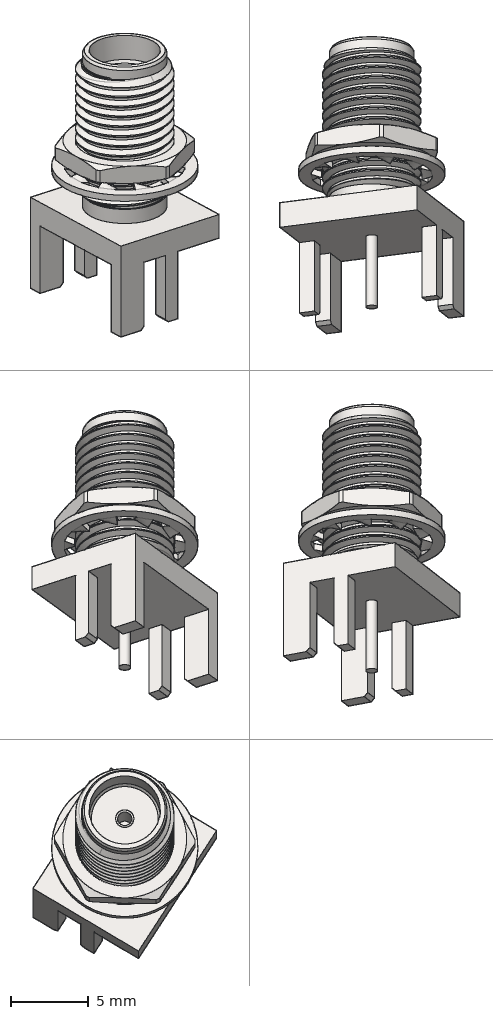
import cadquery as cq
import math

BASE_LENGTH = 9.53
BASE_WIDTH = 8.0
LEG_HEIGHT = 4.76
BASE_TOP = 6.44
LEG_THICKNESS = 1.03
FRONT_LEG_DEPTH = 1.88
MIDDLE_LEG_DEPTH = 1.01
MIDDLE_LEG_FRONT = -0.38
LEG_CHAMFER = 0.25
PIN_DIAMETER = 0.77

TOTAL_HEIGHT = 17.45
COLLAR_DIAMETER = 5.45
RIM_CHAMFER_WIDTH = 0.12
RIM_CHAMFER_HEIGHT = 0.2
BORE_DIAMETER = 4.57
BORE_DEPTH = 1.71
FLOOR_DIAMETER = 4.3
FLOOR_CONE_HEIGHT = 0.2
CONTACT_SEAT_DIAMETER = 1.17
CONTACT_SEAT_DEPTH = 0.05
CONTACT_HOLE_DIAMETER = 0.9
CONTACT_HOLE_DEPTH = 2.1

THREAD_DIAMETER = 6.35
THREAD_ROOT_DIAMETER = 5.58
THREAD_BOTTOM = 7.43
THREAD_TOP = 16.66
THREAD_PITCH = 0.7
THREAD_CREST_WIDTH = 0.09
THREAD_FLANK_ANGLE = 30.0
THREAD_CREST_HEIGHT_AT_X = 15.69
THREAD_ROOT_OVERLAP = 0.1
CORE_INSET = 0.09
ENVELOPE_CLEARANCE = 0.03

NUT_SIDES = 6
NUT_FLATS = 7.95
NUT_CORNERS = 9.04
NUT_BOTTOM = 9.85
NUT_THICKNESS = 1.22
NUT_FACE_DIAMETER = NUT_FLATS
NUT_CHAMFER_HEIGHT = 0.2

WASHER_DIAMETER = 9.4
WASHER_RING_BORE = 7.82
WASHER_BOTTOM = 8.92
WASHER_THICKNESS = 0.44
TOOTH_COUNT = 10
TOOTH_ANGLE = 17.0
FIRST_TOOTH_ANGLE = 17.0
TOOTH_TIP_RADIUS = 3.21
TOOTH_ROOT_RADIUS = 3.87
TOOTH_LIFT = WASHER_THICKNESS / 2


def make_leg(side, front, depth, chamfered_edge):
    """Leg under the -X or +X edge of the base, with one bottom edge chamfered."""
    return (
        cq.Workplane("XY")
        .box(LEG_THICKNESS, depth, LEG_HEIGHT, centered=(True, False, False))
        .translate((side * (BASE_LENGTH - LEG_THICKNESS) / 2, front, 0))
        .faces("<Z")
        .edges(chamfered_edge)
        .chamfer(LEG_CHAMFER)
    )


def make_base():
    """Base block on four legs, with the contact pin between them."""
    base = (
        cq.Workplane("XY", origin=(0, 0, LEG_HEIGHT))
        .box(BASE_LENGTH, BASE_WIDTH, BASE_TOP - LEG_HEIGHT, centered=(True, True, False))
    )
    for side in (-1, 1):
        base = base.union(make_leg(side, -BASE_WIDTH / 2, FRONT_LEG_DEPTH, ">Y"))
        base = base.union(make_leg(side, MIDDLE_LEG_FRONT, MIDDLE_LEG_DEPTH, "<Y"))
    pin = cq.Workplane("XY").circle(PIN_DIAMETER / 2).extrude(LEG_HEIGHT)
    return base.union(pin)


def make_thread_ridge():
    """Helical ridge that runs past both ends of the thread."""
    crest_radius = THREAD_DIAMETER / 2
    inner_radius = THREAD_ROOT_DIAMETER / 2 - THREAD_ROOT_OVERLAP
    half_crest = THREAD_CREST_WIDTH / 2
    half_root = half_crest + (crest_radius - inner_radius) * math.tan(math.radians(THREAD_FLANK_ANGLE))
    pitches_below = math.ceil((THREAD_CREST_HEIGHT_AT_X - THREAD_BOTTOM) / THREAD_PITCH) + 1
    pitches_above = math.ceil((THREAD_TOP - THREAD_CREST_HEIGHT_AT_X) / THREAD_PITCH) + 1
    start = THREAD_CREST_HEIGHT_AT_X - pitches_below * THREAD_PITCH
    length = (pitches_below + pitches_above) * THREAD_PITCH
    helix = cq.Wire.makeHelix(THREAD_PITCH, length, inner_radius)
    ridge = (
        cq.Workplane("XZ")
        .polyline([
            (inner_radius, -half_root),
            (crest_radius, -half_crest),
            (crest_radius, half_crest),
            (inner_radius, half_root),
        ])
        .close()
        .sweep(cq.Workplane(obj=helix), isFrenet=True)
    )
    return ridge.translate((0, 0, start))


def make_thread():
    """Threaded sleeve, with both ends turned down at 45 degrees to the collar."""
    crest_radius = THREAD_DIAMETER / 2
    end_bevel = (THREAD_DIAMETER - COLLAR_DIAMETER) / 2
    length = THREAD_TOP - THREAD_BOTTOM
    core = (
        cq.Workplane("XY", origin=(0, 0, THREAD_BOTTOM + CORE_INSET))
        .circle(THREAD_ROOT_DIAMETER / 2)
        .extrude(length - 2 * CORE_INSET)
    )
    envelope = (
        cq.Workplane("XY", origin=(0, 0, THREAD_BOTTOM))
        .circle(crest_radius + ENVELOPE_CLEARANCE)
        .extrude(length)
        .faces("<Z or >Z")
        .chamfer(end_bevel + ENVELOPE_CLEARANCE)
    )
    return core.union(make_thread_ridge().intersect(envelope))


def make_bore():
    """Socket bore with a conical floor edge and a blind contact hole."""
    bore_bottom = TOTAL_HEIGHT - BORE_DEPTH
    floor = bore_bottom - FLOOR_CONE_HEIGHT
    seat = floor - CONTACT_SEAT_DEPTH
    return (
        cq.Workplane("XZ")
        .polyline([
            (0, TOTAL_HEIGHT),
            (BORE_DIAMETER / 2, TOTAL_HEIGHT),
            (BORE_DIAMETER / 2, bore_bottom),
            (FLOOR_DIAMETER / 2, floor),
            (CONTACT_SEAT_DIAMETER / 2, floor),
            (CONTACT_SEAT_DIAMETER / 2, seat),
            (CONTACT_HOLE_DIAMETER / 2, seat),
            (CONTACT_HOLE_DIAMETER / 2, floor - CONTACT_HOLE_DEPTH),
            (0, floor - CONTACT_HOLE_DEPTH),
        ])
        .close()
        .revolve(360, (0, 0), (0, 1))
    )


def make_connector():
    """Base, pin, threaded barrel and socket as one solid."""
    barrel = (
        cq.Workplane("XY", origin=(0, 0, BASE_TOP))
        .circle(COLLAR_DIAMETER / 2)
        .extrude(TOTAL_HEIGHT - BASE_TOP)
        .faces(">Z")
        .chamfer(RIM_CHAMFER_HEIGHT, RIM_CHAMFER_WIDTH)
    )
    return make_base().union(barrel).union(make_thread()).cut(make_bore())


def make_nut():
    """Hexagon nut with corners along X, both faces turned to a shallow cone."""
    top = NUT_BOTTOM + NUT_THICKNESS
    face_radius = NUT_FACE_DIAMETER / 2
    corner_radius = NUT_CORNERS / 2
    hexagon = (
        cq.Workplane("XY", origin=(0, 0, NUT_BOTTOM))
        .polygon(NUT_SIDES, NUT_FLATS / math.cos(math.pi / NUT_SIDES))
        .circle(THREAD_DIAMETER / 2)
        .extrude(NUT_THICKNESS)
    )
    turned_blank = (
        cq.Workplane("XZ")
        .polyline([
            (0, NUT_BOTTOM),
            (face_radius, NUT_BOTTOM),
            (corner_radius, NUT_BOTTOM + NUT_CHAMFER_HEIGHT),
            (corner_radius, top - NUT_CHAMFER_HEIGHT),
            (face_radius, top),
            (0, top),
        ])
        .close()
        .revolve(360, (0, 0), (0, 1))
    )
    return hexagon.intersect(turned_blank)


def tooth_section(radius, lift):
    """Cross-section of a tooth on +X: one edge raised by the lift, the other lowered."""
    half_width = radius * math.tan(math.radians(TOOTH_ANGLE / 2))
    half_thickness = WASHER_THICKNESS / 2
    return cq.Wire.makePolygon(
        [
            cq.Vector(radius, -half_width, lift - half_thickness),
            cq.Vector(radius, half_width, -lift - half_thickness),
            cq.Vector(radius, half_width, -lift + half_thickness),
            cq.Vector(radius, -half_width, lift + half_thickness),
        ],
        close=True,
    )


def make_tooth():
    """Flat root that joins the ring, then a tip that twists toward the centre."""
    ring_middle_radius = (WASHER_RING_BORE + WASHER_DIAMETER) / 4
    root_section = tooth_section(TOOTH_ROOT_RADIUS, 0)
    root = cq.Solid.makeLoft([tooth_section(ring_middle_radius, 0), root_section], True)
    tip = cq.Solid.makeLoft([root_section, tooth_section(TOOTH_TIP_RADIUS, TOOTH_LIFT)], True)
    return cq.Workplane(obj=root).union(cq.Workplane(obj=tip))


def make_washer():
    """Flat ring with evenly spaced twisted teeth inside it."""
    middle = WASHER_BOTTOM + WASHER_THICKNESS / 2
    washer = (
        cq.Workplane("XY", origin=(0, 0, WASHER_BOTTOM))
        .circle(WASHER_DIAMETER / 2)
        .circle(WASHER_RING_BORE / 2)
        .extrude(WASHER_THICKNESS)
    )
    tooth = make_tooth().translate((0, 0, middle))
    for index in range(TOOTH_COUNT):
        angle = FIRST_TOOTH_ANGLE + index * 360 / TOOTH_COUNT
        washer = washer.union(tooth.rotate((0, 0, 0), (0, 0, 1), angle))
    return washer


connector = make_connector()
nut = make_nut()
washer = make_washer()

result = cq.Compound.makeCompound([*connector.solids().vals(), *nut.solids().vals(), *washer.solids().vals()])